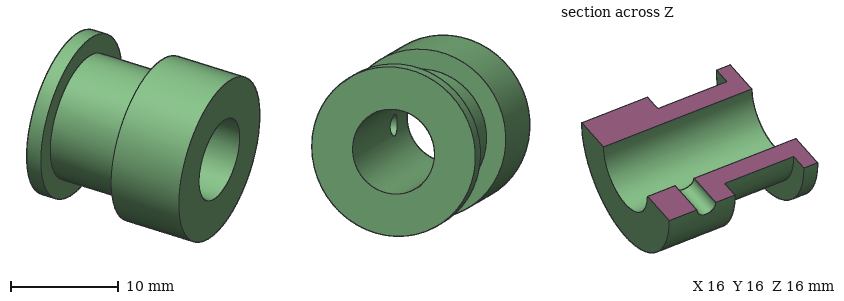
import cadquery as cq

length = 16.0
outer_diameter = 16.0
bore_diameter = 8.0

flange_width = 1.5
hub_width = 7.1
groove_width = length - flange_width - hub_width
groove_diameter = 12.25

screw_hole_diameter = 2.0
screw_hole_offset = 3.1

flange_face_x = -length / 2
groove_start_x = flange_face_x + flange_width
hub_start_x = groove_start_x + groove_width


def disc(start_x, width, diameter):
    """Cylinder along +X starting at start_x."""
    return cq.Workplane("YZ").workplane(offset=start_x).circle(diameter / 2).extrude(width)


def screw_hole():
    """Cylinder along +Y from the axis out through the hub wall."""
    center_x = hub_start_x + screw_hole_offset
    return cq.Workplane("XZ").center(center_x, 0).circle(screw_hole_diameter / 2).extrude(-outer_diameter)


flange = disc(flange_face_x, flange_width, outer_diameter)
groove_core = disc(groove_start_x, groove_width, groove_diameter)
hub = disc(hub_start_x, hub_width, outer_diameter)
bore = disc(flange_face_x, length, bore_diameter)

result = flange.union(groove_core).union(hub).cut(bore).cut(screw_hole())